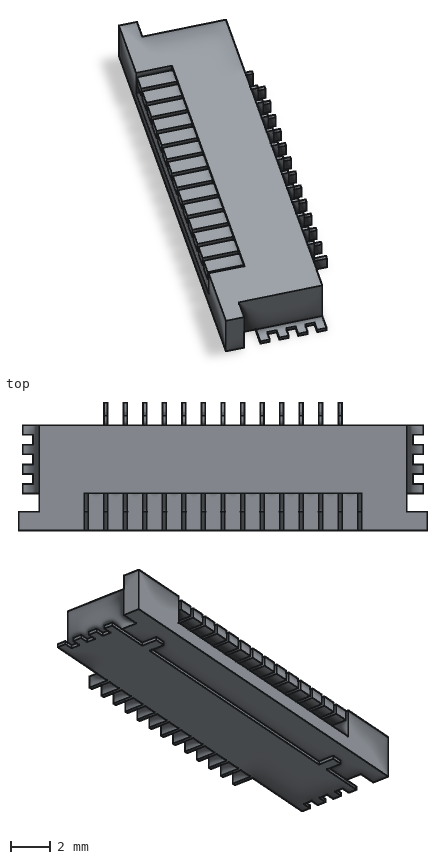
import cadquery as cq


flange_width = 20.92
body_width = 18.83
flange_depth = 0.96
body_depth = 5.4
overall_depth = 6.55
overall_height = 2.55
plate_thickness = 0.19

pitch = 1.0
finger_count = 14
gap_width = 0.2
opening_width = finger_count * pitch + gap_width
opening_floor = overall_height - 1.57
finger_width = pitch - gap_width
finger_length = 1.9
finger_drop = 0.13
finger_thickness = 0.56
finger_top = overall_height - finger_drop
finger_underside = finger_top - finger_thickness

pin_count = finger_count - 1
pin_width = gap_width
pin_shoulder_depth = 5.88
pin_shoulder_height = 2.05
pin_foot_height = 0.67

tab_span = 20.5
tab_root_span = 19.45
tooth_count = 4
tooth_width = 0.5
tooth_pitch = 2 * tooth_width
tab_length = (2 * tooth_count - 1) * tooth_width
tab_front = body_depth - tab_length

prong_width = 0.63
prong_offset = (opening_width + prong_width) / 2


def block(width, y_start, y_end, z_start, z_end, x_center=0):
    """Box centred at x_center in X, spanning the given Y and Z ranges."""
    size_y = y_end - y_start
    size_z = z_end - z_start
    box = cq.Workplane("XY").box(width, size_y, size_z, centered=(True, False, False))
    return box.translate((x_center, y_start, z_start))


def row_positions(count):
    """X positions of a centred row of features at the contact pitch."""
    return [(i - (count - 1) / 2) * pitch for i in range(count)]


def make_housing():
    """Body with its wide front flange, the mating opening and the fingers above it."""
    body = block(body_width, 0, body_depth, plate_thickness, overall_height)
    flange = block(flange_width, 0, flange_depth, plate_thickness, overall_height)
    opening = block(opening_width, 0, flange_depth, opening_floor, overall_height)
    finger_bay = block(opening_width, 0, finger_length, finger_underside, overall_height)
    housing = body.union(flange).cut(opening).cut(finger_bay)
    for x in row_positions(finger_count):
        finger = block(finger_width, 0, finger_length, finger_underside, finger_top, x)
        housing = housing.union(finger)
    return housing


def make_base():
    """Thin plate under the body, with a row of teeth along each end and two front prongs."""
    base = block(tab_root_span, tab_front, body_depth, 0, plate_thickness)
    for i in range(tooth_count):
        y = tab_front + i * tooth_pitch
        base = base.union(block(tab_span, y, y + tooth_width, 0, plate_thickness))
    for x in (-prong_offset, prong_offset):
        base = base.union(block(prong_width, flange_depth, tab_front, 0, plate_thickness, x))
    return base


def make_pin(x):
    """L-shaped pin: an upright on the rear wall and a foot on the soldering plane."""
    upright = block(pin_width, body_depth, pin_shoulder_depth, 0, pin_shoulder_height, x)
    foot = block(pin_width, body_depth, overall_depth, 0, pin_foot_height, x)
    return upright.union(foot)


result = make_housing().union(make_base())
for pin_x in row_positions(pin_count):
    result = result.union(make_pin(pin_x))